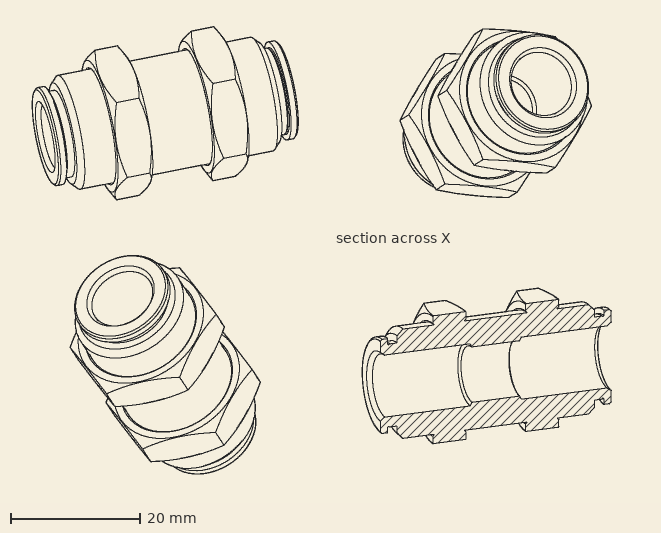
import cadquery as cq
import math

total_length = 38.61
half_length = total_length / 2

body_radius = 9.0
body_setback = 2.8
body_chamfer = 1.0

flange_radius = 7.75
flange_thickness = 1.25
flange_chamfer = 0.3
neck_radius = 6.85
groove_depth = 0.15
groove_width = 0.35

mouth_radius = 5.6
mouth_depth = 0.75
tube_radius = 5.05
tube_depth = 15.0
through_radius = 4.5
stop_cone_angle = 60.0

nut_across_flats = 21.0
nut_width = 5.6
nut_setback = 8.75
nut_face_radius = 10.4
nut_chamfer_angle = 30.0
nut_countersink = 0.25

ends = (-1, 1)


def revolve_about_y(points):
    """Turn a closed outline of (radius, y) points about the Y axis."""
    return cq.Workplane("XY").polyline(points).close().revolve(360, (0, 0, 0), (0, 1, 0))


def make_shell():
    """Body, necks and flanges as one turned solid."""
    body_end = half_length - body_setback
    flange_inner = half_length - flange_thickness
    outer_half = [
        (body_radius, body_end - body_chamfer),
        (body_radius - body_chamfer, body_end),
        (neck_radius, body_end),
        (neck_radius, flange_inner - groove_width),
        (neck_radius - groove_depth, flange_inner - groove_width / 2),
        (neck_radius, flange_inner),
        (flange_radius, flange_inner),
        (flange_radius, half_length - flange_chamfer),
        (flange_radius - flange_chamfer, half_length),
        (0, half_length),
    ]
    mirrored_half = [(radius, -y) for radius, y in reversed(outer_half)]
    return revolve_about_y(mirrored_half + outer_half)


def make_bore():
    """Through hole with a wider tube socket and a flared mouth at each end."""
    stop_cone_length = (tube_radius - through_radius) / math.tan(math.radians(stop_cone_angle))
    tube_end = half_length - tube_depth
    bore_half = [
        (through_radius, tube_end - stop_cone_length),
        (tube_radius, tube_end),
        (tube_radius, half_length - mouth_depth),
        (mouth_radius, half_length),
        (0, half_length),
    ]
    mirrored_half = [(radius, -y) for radius, y in reversed(bore_half)]
    return revolve_about_y(mirrored_half + bore_half)


def make_nut(center_y):
    """Hex nut with both ends chamfered on the outside and countersunk around the body."""
    half_width = nut_width / 2
    corner_radius = nut_across_flats / math.sqrt(3)
    chamfer_depth = (corner_radius - nut_face_radius) * math.tan(math.radians(nut_chamfer_angle))
    hexagon = (
        cq.Workplane("XZ")
        .polygon(6, 2 * corner_radius)
        .extrude(half_width, both=True)
    )
    envelope = revolve_about_y([
        (body_radius, half_width - nut_countersink),
        (body_radius + nut_countersink, half_width),
        (nut_face_radius, half_width),
        (corner_radius, half_width - chamfer_depth),
        (corner_radius, chamfer_depth - half_width),
        (nut_face_radius, -half_width),
        (body_radius + nut_countersink, -half_width),
        (body_radius, nut_countersink - half_width),
    ])
    return hexagon.intersect(envelope).translate((0, center_y, 0))


nut_center = half_length - nut_setback - nut_width / 2

result = make_shell()
for end in ends:
    result = result.union(make_nut(end * nut_center))
result = result.cut(make_bore())